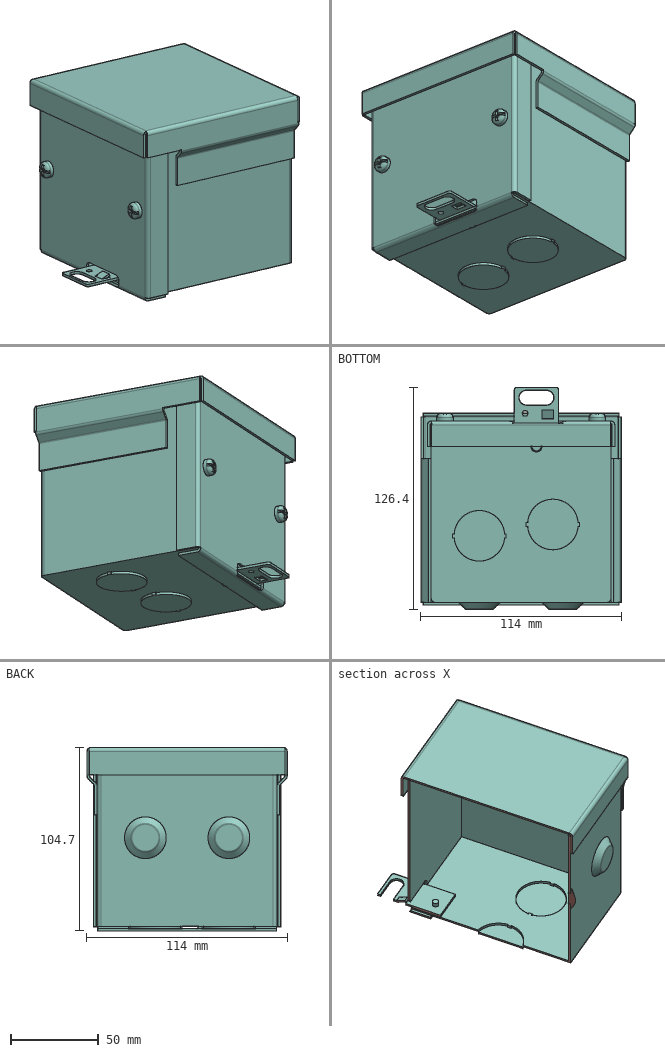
import cadquery as cq
import math


sheet = 1.5
bend_inside = 0.8
bend_outside = bend_inside + sheet

lid_width = 114.0
lid_depth = 109.2
lid_front = -4.4
lid_back = lid_front + lid_depth
lid_top = 104.7
lid_underside = lid_top - sheet
lid_flange_height = 15.7
lid_flange_bottom = lid_top - lid_flange_height
front_flange_inset = 1.3
side_flange_inset = 2.0

box_width = 102.4
box_front = 2.0
box_back = lid_back - sheet
box_bottom = 2.8
box_top = lid_underside - bend_inside
floor_top = box_bottom + sheet
box_inner_width = box_width - 2 * sheet

skirt_front = 21.4
skirt_bottom = 66.2
skirt_jog_top = 87.4
skirt_jog_angle = 45.0

cover_width = 106.7
cover_flange_depth = 14.4
cover_flange_bottom = 2.4
lip_width = 101.9
cover_slot_x = 9.4
cover_slot_width = 31.6
cover_slot_top = 8.1
cover_slot_corner = 3.2
cover_slot_bend_angle = 60.0

mid_height = 53.2
screw_spacing = 86.7
screw_head_diameter = 9.5
screw_face_diameter = 4.8
screw_head_height = 4.4
screw_rim_height = 2.0
screw_crown_radius = 4.0
screw_crown_height = 3.7
screw_shank_diameter = 4.3
screw_slot_width = 1.5
screw_slot_depth = 2.0
screw_cross_slot_length = 6.3

bracket_x = 8.7
bracket_width = 25.3
bracket_front = -19.2
bracket_back = 20.7
bracket_corner = 1.5
bracket_top = floor_top + sheet
bracket_slot_y = -13.3
bracket_slot_length = 19.7
bracket_slot_width = 8.3
ear_offset = 6.5
bracket_hole_diameter = 3.2
bracket_hole_y = -4.3
tab_width = 6.5
tab_hinge_y = -7.0
tab_length = 5.5
tab_angle = 22.0

rivet_y = cover_flange_depth
rivet_head_diameter = 6.3
rivet_head_height = 1.1
rivet_head_chamfer = 0.5
rivet_shank_diameter = 3.5
rivet_projection = 2.5

plug_spacing = 47.5
plug_base_diameter = 23.8
plug_height = 3.9
plug_neck_diameter = 19.0
plug_edge_radius = 0.6

knockout_diameter = 28.8
knockout_tie_width = 2.3
knockout_tie_length = 1.5
knockout_centres = [(-23.8, 65.4), (18.1, 58.9)]


def block(x_range, y_range, z_range):
    """Box between two limits along each axis."""
    size = [high - low for low, high in (x_range, y_range, z_range)]
    corner = (x_range[0], y_range[0], z_range[0])
    return cq.Workplane("XY").box(*size, centered=False).translate(corner)


def upright(x, y, bottom, diameter, height):
    """Vertical cylinder standing on the level 'bottom'."""
    return cq.Workplane("XY", origin=(x, y, bottom)).circle(diameter / 2).extrude(height)


def rearward(x, y, z, diameter, length):
    """Cylinder starting at (x, y, z) and running towards +Y."""
    plane = cq.Plane(origin=(x, y, z), xDir=(1, 0, 0), normal=(0, 1, 0))
    return cq.Workplane(plane).circle(diameter / 2).extrude(length)


def make_skirt():
    """Right-hand skirt: down the lid flange, slanting inwards, then down the box side."""
    flange_x = lid_width / 2
    skirt_x = box_width / 2 + sheet
    angle = math.radians(skirt_jog_angle)
    jog_bottom = skirt_jog_top - (flange_x - skirt_x) / math.tan(angle)
    mitre = sheet * math.tan(angle / 2)
    bends = [
        (flange_x, skirt_jog_top, bend_outside),
        (flange_x - sheet, skirt_jog_top + mitre, bend_inside),
        (skirt_x, jog_bottom, bend_inside),
        (skirt_x - sheet, jog_bottom + mitre, bend_outside),
    ]
    outline = [
        (flange_x, lid_flange_bottom),
        (flange_x, skirt_jog_top),
        (skirt_x, jog_bottom),
        (skirt_x, skirt_bottom),
        (skirt_x - sheet, skirt_bottom),
        (skirt_x - sheet, jog_bottom + mitre),
        (flange_x - sheet, skirt_jog_top + mitre),
        (flange_x - sheet, lid_flange_bottom),
    ]
    skirt = cq.Workplane("XZ", origin=(0, box_back, 0)).polyline(outline).close()
    skirt = skirt.extrude(box_back - skirt_front)
    middle_y = (skirt_front + box_back) / 2
    for x, z, radius in bends:
        skirt = skirt.edges(cq.NearestToPointSelector((x, middle_y, z))).fillet(radius)
    return skirt


def make_lid():
    """Tray with four folded flanges, open corners and a skirt on each side."""
    half = lid_width / 2
    outside = block((-half, half), (lid_front, lid_back), (lid_flange_bottom, lid_top))
    outside = outside.faces(">Z").edges().fillet(bend_outside)
    inside = block(
        (-half + sheet, half - sheet),
        (lid_front + sheet, lid_back - sheet),
        (lid_flange_bottom, lid_underside),
    )
    inside = inside.faces(">Z").edges().fillet(bend_inside)
    lid = outside.cut(inside)
    notch_size = (2 * front_flange_inset, 2 * side_flange_inset, 2 * lid_top)
    for x in (-half, half):
        for y in (lid_front, lid_back):
            lid = lid.cut(cq.Workplane("XY").box(*notch_size).translate((x, y, 0)))
    skirt = make_skirt()
    return lid.union(skirt).union(skirt.mirror("YZ"))


def make_box():
    """Floor, back and two sides, open at the front and at the top."""
    half = box_width / 2
    box = block((-half, half), (box_front, box_back), (box_bottom, box_top))
    box = box.edges("|Z and >Y").fillet(bend_outside)
    half_inner = box_inner_width / 2
    inside = block((-half_inner, half_inner), (box_front, box_back - sheet), (floor_top, box_top))
    box = box.cut(inside.edges("|Z and >Y").fillet(bend_inside))
    for x in (-plug_spacing / 2, plug_spacing / 2):
        box = box.cut(rearward(x, box_back - sheet, mid_height, plug_neck_diameter, sheet))
    for x, y in knockout_centres:
        box = press_knockout(box, x, y)
    return box.cut(upright(bracket_x, rivet_y, box_bottom, rivet_shank_diameter, sheet))


def press_knockout(box, x, y):
    """Push a round slug down by one sheet thickness, held by a tie on its left and right."""
    slug_bottom = box_bottom - sheet
    box = box.cut(upright(x, y, box_bottom, knockout_diameter, sheet))
    box = box.union(upright(x, y, slug_bottom, knockout_diameter, sheet))
    for tie_x in (x - knockout_diameter / 2, x + knockout_diameter / 2):
        box = box.union(
            block(
                (tie_x - knockout_tie_length / 2, tie_x + knockout_tie_length / 2),
                (y - knockout_tie_width / 2, y + knockout_tie_width / 2),
                (slug_bottom, floor_top),
            )
        )
    return box


def make_cover_slot():
    """Rounded window through the front, its lower edge square to the sheet in the bottom bend."""
    angle = math.radians(cover_slot_bend_angle)
    slot_bottom = bend_outside * (1 - math.sin(angle))
    half = cover_slot_width / 2
    window = block(
        (cover_slot_x - half, cover_slot_x + half),
        (0, bend_outside),
        (slot_bottom, cover_slot_top),
    )
    window = window.edges("|Y").fillet(cover_slot_corner)
    radial = [
        (bend_outside, bend_outside),
        (bend_outside * (1 - math.cos(angle)), slot_bottom),
        (0, slot_bottom),
        (0, cover_slot_top),
        (bend_outside, cover_slot_top),
    ]
    wedge = cq.Workplane("YZ").polyline(radial).close().extrude(lid_width, both=True)
    return window.intersect(wedge)


def make_cover():
    """Front plate with two side flanges and a narrower bottom lip."""
    half = cover_width / 2
    cover = block((-half, half), (0, cover_flange_depth), (0, lid_underside))
    cover = cover.edges("<Y and |Z").fillet(bend_outside).edges("<Y and <Z").fillet(bend_outside)
    inner = block((-half + sheet, half - sheet), (sheet, cover_flange_depth), (sheet, lid_underside))
    inner = inner.edges("<Y and |Z").fillet(bend_inside).edges("<Y and <Z").fillet(bend_inside)
    cover = cover.cut(inner)
    for inner_x, outer_x in ((lip_width / 2, half), (-half, -lip_width / 2)):
        cover = cover.cut(block((inner_x, outer_x), (0, cover_flange_depth), (0, cover_flange_bottom)))
    cover = cover.cut(make_cover_slot())
    for x in (-screw_spacing / 2, screw_spacing / 2):
        cover = cover.cut(rearward(x, 0, mid_height, screw_shank_diameter, sheet))
    return cover


def make_screw(x):
    """Round-headed screw with a full-width slot crossed by a short one."""
    head_profile = (
        cq.Workplane("XY")
        .moveTo(0, 0)
        .lineTo(screw_head_diameter / 2, 0)
        .lineTo(screw_head_diameter / 2, -screw_rim_height)
        .threePointArc(
            (screw_crown_radius, -screw_crown_height),
            (screw_face_diameter / 2, -screw_head_height),
        )
        .lineTo(0, -screw_head_height)
        .close()
    )
    screw = head_profile.revolve(360, (0, 0, 0), (0, 1, 0))
    slot_depths = (-screw_head_height, -screw_head_height + screw_slot_depth)
    half_width = screw_slot_width / 2
    long_half = screw_head_diameter / 2
    short_half = screw_cross_slot_length / 2
    screw = screw.cut(block((-long_half, long_half), slot_depths, (-half_width, half_width)))
    screw = screw.cut(block((-half_width, half_width), slot_depths, (-short_half, short_half)))
    screw = screw.union(rearward(0, 0, 0, screw_shank_diameter, sheet))
    return screw.translate((x, 0, mid_height))


def make_tab():
    """Tongue cut from the bracket and bent up towards the box."""
    angle = math.radians(tab_angle)
    run = tab_length * math.cos(angle)
    rise = tab_length * math.sin(angle)
    outline = [
        (tab_hinge_y, floor_top),
        (tab_hinge_y, bracket_top),
        (tab_hinge_y + run, bracket_top + rise),
        (tab_hinge_y + run + sheet * math.sin(angle), bracket_top + rise - sheet * math.cos(angle)),
        (tab_hinge_y + sheet * math.sin(angle), floor_top),
    ]
    tab = cq.Workplane("YZ").polyline(outline).close().extrude(tab_width / 2, both=True)
    return tab.translate((bracket_x + ear_offset, 0, 0))


def make_bracket():
    """Flat mounting plate on the box floor, reaching out through the cover slot."""
    half = bracket_width / 2
    plate = block(
        (bracket_x - half, bracket_x + half),
        (bracket_front, bracket_back),
        (floor_top, bracket_top),
    )
    plate = plate.edges("|Z and <Y").fillet(bracket_corner)
    slot = (
        cq.Workplane("XY", origin=(bracket_x, bracket_slot_y, floor_top))
        .slot2D(bracket_slot_length, bracket_slot_width)
        .extrude(sheet)
    )
    plate = plate.cut(slot)
    hole_x = bracket_x - ear_offset
    plate = plate.cut(upright(hole_x, bracket_hole_y, floor_top, bracket_hole_diameter, sheet))
    plate = plate.cut(upright(bracket_x, rivet_y, floor_top, rivet_shank_diameter, sheet))
    tab_x = bracket_x + ear_offset
    tab_window = block(
        (tab_x - tab_width / 2, tab_x + tab_width / 2),
        (tab_hinge_y, tab_hinge_y + tab_length),
        (floor_top, bracket_top),
    )
    return plate.cut(tab_window).union(make_tab())


def make_rivet():
    """Pin through floor and bracket with a flat head under the floor."""
    head_bottom = box_bottom - rivet_head_height
    head = upright(bracket_x, rivet_y, head_bottom, rivet_head_diameter, rivet_head_height)
    head = head.faces("<Z").edges().chamfer(rivet_head_chamfer)
    shank_length = 2 * sheet + rivet_projection
    return head.union(upright(bracket_x, rivet_y, box_bottom, rivet_shank_diameter, shank_length))


def make_plug(x):
    """Conical plug on the back wall with a neck filling its hole."""
    base_radius = plug_base_diameter / 2
    tip_radius = base_radius - plug_height
    cone = (
        cq.Workplane("XY")
        .polyline([(0, 0), (base_radius, 0), (tip_radius, plug_height), (0, plug_height)])
        .close()
        .revolve(360, (0, 0, 0), (0, 1, 0))
    )
    cone = cone.faces(">Y").edges().fillet(plug_edge_radius)
    plug = cone.union(rearward(0, -sheet, 0, plug_neck_diameter, sheet))
    return plug.translate((x, box_back, mid_height))


lid = make_lid()
box = make_box()
cover = make_cover()
bracket = make_bracket()
rivet = make_rivet()
screws = [make_screw(x) for x in (-screw_spacing / 2, screw_spacing / 2)]
plugs = [make_plug(x) for x in (-plug_spacing / 2, plug_spacing / 2)]

result = cq.Compound.makeCompound(
    [part.solids().val() for part in (lid, box, cover, bracket, rivet, *screws, *plugs)]
)